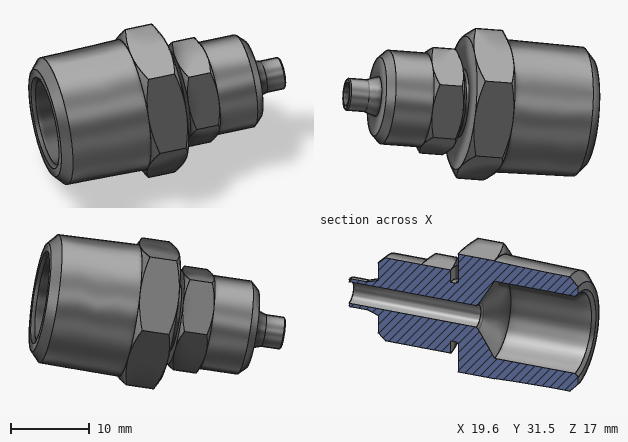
import cadquery as cq
import math

thread_chamfer_end = 1.15
body_hex_start = 11.5
body_hex_end = 16.5
neck_chamfer_end = 16.82
nut_hex_start = 17.5
nut_hex_end = 21.5
sleeve_chamfer_start = 26.5
sleeve_end = 27.5
tip_start = 29.0
total_length = 31.5

body_hex_flats = 17.0
nut_hex_flats = 12.0
thread_end_radius = 8.25
thread_root_radius = 8.47
thread_face_radius = 7.0
neck_radius = 4.25
neck_base_radius = 4.4
sleeve_radius = nut_hex_flats / 2
sleeve_face_radius = 5.05
taper_base_radius = 2.55
tip_radius = 2.05
tip_chamfer = 0.15
hex_chamfer_angle = 30.0

body_hex_inner_radius = 6.3
nut_hex_inner_radius = 2.85

mouth_radius = 5.95
bore_radius = 5.5
bore_depth = 11.5
cone_half_angle = 59.0
cone_end_radius = 1.8
hole_radius = 1.5
hole_chamfer = cone_end_radius - hole_radius


def revolve_profile(points):
    """Revolve (radius, station) points about the Y axis."""
    return cq.Workplane("XY").polyline(points).close().revolve(360, (0, 0, 0), (0, 1, 0))


def hexagon_ring(flats, inner_radius, start, end):
    """Hexagonal ring with flats facing +/-Z and both ends chamfered down to the flats."""
    corner_radius = flats / math.sqrt(3)
    flat_radius = flats / 2
    drop = (corner_radius - flat_radius) * math.tan(math.radians(hex_chamfer_angle))
    prism = (
        cq.Workplane("XZ", origin=(0, start, 0))
        .polygon(6, 2 * corner_radius)
        .extrude(start - end)
    )
    envelope = revolve_profile([
        (inner_radius, start),
        (flat_radius, start),
        (corner_radius, start + drop),
        (corner_radius, end - drop),
        (flat_radius, end),
        (inner_radius, end),
    ])
    return prism.intersect(envelope)


outside = [
    (thread_face_radius, 0),
    (thread_end_radius, thread_chamfer_end),
    (thread_root_radius, body_hex_start),
    (thread_root_radius, body_hex_end),
    (neck_base_radius, body_hex_end),
    (neck_radius, neck_chamfer_end),
    (neck_radius, nut_hex_end),
    (sleeve_radius, nut_hex_end),
    (sleeve_radius, sleeve_chamfer_start),
    (sleeve_face_radius, sleeve_end),
    (taper_base_radius, sleeve_end),
    (tip_radius, tip_start),
    (tip_radius, total_length - tip_chamfer),
    (tip_radius - tip_chamfer, total_length),
]

cone_end = bore_depth + (bore_radius - cone_end_radius) / math.tan(math.radians(cone_half_angle))
passage = [
    (mouth_radius, 0),
    (bore_radius, mouth_radius - bore_radius),
    (bore_radius, bore_depth),
    (cone_end_radius, cone_end),
    (hole_radius, cone_end + hole_chamfer),
    (hole_radius, total_length),
]

turned_body = revolve_profile(outside + passage[::-1])

body_hex = hexagon_ring(body_hex_flats, body_hex_inner_radius, body_hex_start, body_hex_end)
nut_hex = hexagon_ring(nut_hex_flats, nut_hex_inner_radius, nut_hex_start, nut_hex_end)

result = turned_body.union(body_hex).union(nut_hex)